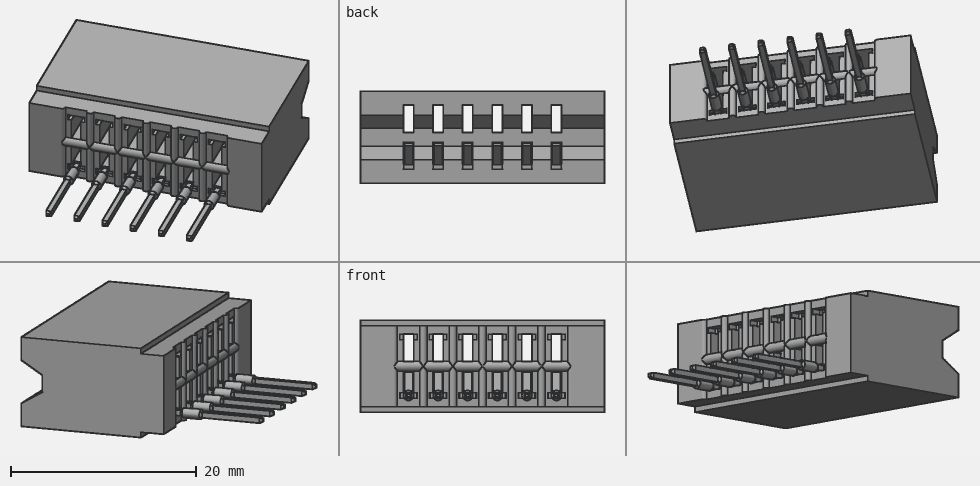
import cadquery as cq
import math


HOUSING_WIDTH = 26.3
HOUSING_DEPTH = 16.4
HOUSING_HEIGHT = 9.9
STEP_DEPTH = 2.6
STEP_DROP = 0.6

LEAD_IN_DEPTH = 2.42
LEAD_IN_MOUTH_HEIGHT = 4.78
LEAD_IN_FLOOR_HEIGHT = 1.9

CONTACT_COUNT = 6
PITCH = 3.18

RECESS_DEPTH = 0.4
RIB_RADIUS = RECESS_DEPTH
RIDGE_HEIGHT = 1.08

CAVITY_WIDTH = 1.08
CAVITY_REACH = 3.45
SEAT_WIDTH = 1.9
SEAT_HEIGHT = 0.6
SEAT_DEPTH = 1.05

CLEARANCE = 0.08
PIN_SIZE = 0.6
PIN_LENGTH = 9.5
TIP_LENGTH = 0.35
TIP_SIZE = 0.32
BARREL_RADIUS = 0.55
BARREL_SIDE_RADIUS = 0.53
BARREL_FLAT_WIDTH = 0.08
BARREL_START = 0.35
BARREL_LENGTH = 1.95
BARREL_TAPER = 0.32
TAB_THICKNESS = 0.63
ARM_TOP = 0.53
ARM_LENGTH = 2.1
SPRING_THICKNESS = 0.32
SPRING_RUN = 3.42

RECESS_WIDTH = CONTACT_COUNT * PITCH
FRONT_HEIGHT = HOUSING_HEIGHT - 2 * STEP_DROP
PIN_Z = SEAT_HEIGHT / 2 - CAVITY_REACH
SEAT_FLOOR_Y = RECESS_DEPTH + SEAT_DEPTH
CONTACT_XS = [(i - (CONTACT_COUNT - 1) / 2) * PITCH for i in range(CONTACT_COUNT)]
RIB_XS = [(i - CONTACT_COUNT / 2) * PITCH for i in range(CONTACT_COUNT + 1)]


def box(width, y_start, y_end, z_low, z_high, x=0.0):
    """Box centred on x, spanning the given Y and Z ranges."""
    return (
        cq.Workplane("XY")
        .box(width, y_end - y_start, z_high - z_low, centered=(True, False, False))
        .translate((x, y_start, z_low))
    )


def make_block():
    """Stepped block with the tapered card lead-in, drawn as a YZ outline."""
    half = HOUSING_HEIGHT / 2
    front_half = FRONT_HEIGHT / 2
    mouth_half = LEAD_IN_MOUTH_HEIGHT / 2
    floor_half = LEAD_IN_FLOOR_HEIGHT / 2
    floor_y = HOUSING_DEPTH - LEAD_IN_DEPTH
    outline = [
        (0, -front_half),
        (STEP_DEPTH, -front_half),
        (STEP_DEPTH, -half),
        (HOUSING_DEPTH, -half),
        (HOUSING_DEPTH, -mouth_half),
        (floor_y, -floor_half),
        (floor_y, floor_half),
        (HOUSING_DEPTH, mouth_half),
        (HOUSING_DEPTH, half),
        (STEP_DEPTH, half),
        (STEP_DEPTH, front_half),
        (0, front_half),
    ]
    return cq.Workplane("YZ").polyline(outline).close().extrude(HOUSING_WIDTH / 2, both=True)


def make_ribs():
    """Half-round upright ribs between the positions and at both ends of the recess."""
    ribs = (
        cq.Workplane("XY")
        .pushPoints([(x, RECESS_DEPTH) for x in RIB_XS])
        .circle(RIB_RADIUS)
        .extrude(FRONT_HEIGHT / 2, both=True)
    )
    return ribs.intersect(box(HOUSING_WIDTH, 0, RECESS_DEPTH, -FRONT_HEIGHT / 2, FRONT_HEIGHT / 2))


def make_ridge():
    """Rounded ridge along the middle of the recess."""
    return (
        cq.Workplane("YZ")
        .moveTo(RECESS_DEPTH, -RIDGE_HEIGHT / 2)
        .threePointArc((0, 0), (RECESS_DEPTH, RIDGE_HEIGHT / 2))
        .close()
        .extrude(RECESS_WIDTH / 2, both=True)
    )


def make_cavities(x):
    """Upper and lower through cavities, each with a wider contact seat at its outer end."""
    cavity = box(CAVITY_WIDTH, RECESS_DEPTH, HOUSING_DEPTH, RIDGE_HEIGHT / 2, CAVITY_REACH, x)
    seat = box(SEAT_WIDTH, RECESS_DEPTH, SEAT_FLOOR_Y, CAVITY_REACH - SEAT_HEIGHT, CAVITY_REACH, x)
    upper = cavity.union(seat)
    return upper.union(upper.mirror("XY"))


def make_housing():
    """Block with the ribbed recess in its front and the contact cavities through it."""
    recess = box(RECESS_WIDTH, 0, RECESS_DEPTH, -FRONT_HEIGHT / 2, FRONT_HEIGHT / 2)
    housing = make_block().cut(recess).union(make_ribs()).union(make_ridge())
    for x in CONTACT_XS:
        housing = housing.cut(make_cavities(x))
    return housing


def make_pin():
    """Square pin with a tapered tip, running from the tab out to -Y."""
    tip_base_y = TIP_LENGTH - PIN_LENGTH
    shank = box(PIN_SIZE, tip_base_y, SEAT_FLOOR_Y, -PIN_SIZE / 2, PIN_SIZE / 2)
    tip = (
        cq.Workplane("XZ", origin=(0, tip_base_y, 0))
        .rect(PIN_SIZE, PIN_SIZE)
        .workplane(offset=TIP_LENGTH)
        .rect(TIP_SIZE, TIP_SIZE)
        .loft()
    )
    return shank.union(tip)


def make_barrel():
    """Barrel with four bulged sides meeting at narrow flats, tapered at both ends."""
    flat = BARREL_FLAT_WIDTH / 2
    side = BARREL_SIDE_RADIUS * math.sqrt(0.5)
    end = BARREL_START + BARREL_LENGTH
    neck = PIN_SIZE / 2
    prism = (
        cq.Workplane("XZ", origin=(0, BARREL_TAPER - BARREL_START, 0))
        .moveTo(BARREL_RADIUS, flat)
        .threePointArc((side, side), (flat, BARREL_RADIUS))
        .lineTo(-flat, BARREL_RADIUS)
        .threePointArc((-side, side), (-BARREL_RADIUS, flat))
        .lineTo(-BARREL_RADIUS, -flat)
        .threePointArc((-side, -side), (-flat, -BARREL_RADIUS))
        .lineTo(flat, -BARREL_RADIUS)
        .threePointArc((side, -side), (BARREL_RADIUS, -flat))
        .close()
        .extrude(BARREL_LENGTH + 2 * BARREL_TAPER)
    )
    outline = [
        (0, BARREL_TAPER - BARREL_START),
        (neck, BARREL_TAPER - BARREL_START),
        (BARREL_RADIUS, -BARREL_START),
        (BARREL_RADIUS, -end),
        (neck, -end - BARREL_TAPER),
        (0, -end - BARREL_TAPER),
    ]
    tapered_envelope = cq.Workplane("XY").polyline(outline).close().revolve(360, (0, 0, 0), (0, 1, 0))
    return prism.intersect(tapered_envelope)


def make_spring():
    """Level arm through the tab, then a flat spring rising towards the underside of the ridge."""
    width = CAVITY_WIDTH - 2 * CLEARANCE
    spring_top = -RIDGE_HEIGHT / 2 - CLEARANCE - PIN_Z
    arm_start_y = SEAT_FLOOR_Y - TAB_THICKNESS
    arm_end_y = arm_start_y + ARM_LENGTH
    spring_end_y = arm_end_y + SPRING_RUN
    outline = [
        (arm_start_y, ARM_TOP - SPRING_THICKNESS),
        (arm_start_y, ARM_TOP),
        (arm_end_y, ARM_TOP),
        (spring_end_y, spring_top),
        (spring_end_y, spring_top - SPRING_THICKNESS),
        (arm_end_y, ARM_TOP - SPRING_THICKNESS),
    ]
    return cq.Workplane("YZ").polyline(outline).close().extrude(width / 2, both=True)


def make_contact():
    """One contact, with the pin axis on the Y axis."""
    tab_half_height = SEAT_HEIGHT / 2
    tab_width = SEAT_WIDTH - 2 * CLEARANCE
    tab = box(tab_width, SEAT_FLOOR_Y - TAB_THICKNESS, SEAT_FLOOR_Y, -tab_half_height, tab_half_height)
    return make_pin().union(make_barrel()).union(tab).union(make_spring())


housing = make_housing()
contact = make_contact()
contacts = [contact.translate((x, 0, PIN_Z)) for x in CONTACT_XS]

result = cq.Compound.makeCompound([housing.val(), *[c.val() for c in contacts]])